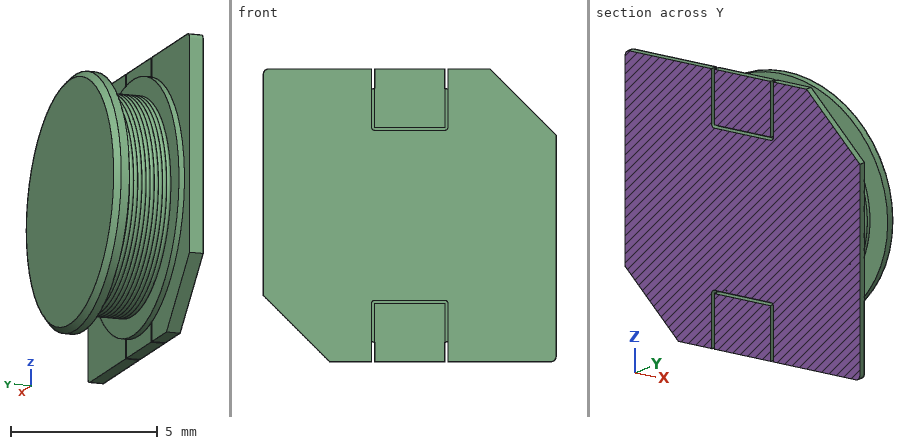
import cadquery as cq

plate_size = 10.0
plate_thickness = 0.5
corner_cut = 2.27
corner_radius = 0.2

pad_width = 2.4
pad_length = 2.0
slot_gap = 0.1

flange_diameter = 9.0
lower_flange_thickness = 0.2
upper_flange_thickness = 0.5
upper_flange_chamfer = 0.2
overall_height = 3.0

wire_pitch = 0.15
wire_diameter = 0.146
winding_diameter = 7.65
wire_start_angle = -50
core_overlap = 0.015

half_size = plate_size / 2
winding_start = plate_thickness + lower_flange_thickness
winding_end = overall_height - upper_flange_thickness
wire_center_radius = (winding_diameter - wire_diameter) / 2
core_radius = wire_center_radius + core_overlap


def disc(radius, y_start, y_end):
    """Cylinder about the Y axis between two Y positions."""
    height = y_end - y_start
    return cq.Workplane("XZ", origin=(0, y_start, 0)).circle(radius).extrude(-height)


def make_pad_slot():
    """U-shaped slot around the pad on the +Z edge of the plate."""
    outer_width = pad_width + 2 * slot_gap
    outer_length = pad_length + slot_gap
    outer = (
        cq.Workplane("XY")
        .box(outer_width, plate_thickness, outer_length, centered=(True, False, False))
        .translate((0, 0, half_size - outer_length))
        .edges("|Y and <Z")
        .fillet(slot_gap)
    )
    pad = (
        cq.Workplane("XY")
        .box(pad_width, plate_thickness, pad_length, centered=(True, False, False))
        .translate((0, 0, half_size - pad_length))
    )
    return outer.cut(pad)


def make_plate():
    """Square plate with two opposite corners cut, two rounded, and two pad slots."""
    cut_end = half_size - corner_cut
    plate = (
        cq.Workplane("XZ")
        .moveTo(-half_size, half_size)
        .lineTo(cut_end, half_size)
        .lineTo(half_size, cut_end)
        .lineTo(half_size, -half_size)
        .lineTo(-cut_end, -half_size)
        .lineTo(-half_size, -cut_end)
        .close()
        .extrude(-plate_thickness)
    )
    for x, z in ((-half_size, half_size), (half_size, -half_size)):
        corner = cq.selectors.NearestToPointSelector((x, plate_thickness / 2, z))
        plate = plate.edges("|Y").edges(corner).fillet(corner_radius)
    slot = make_pad_slot()
    for angle in (0, 180):
        plate = plate.cut(slot.rotate((0, 0, 0), (0, 1, 0), angle))
    return plate


def make_flanges():
    """Plain lower flange and upper flange with a chamfered outer rim."""
    flange_radius = flange_diameter / 2
    lower = disc(flange_radius, plate_thickness, winding_start)
    upper = disc(flange_radius, winding_end, overall_height)
    upper = upper.faces(">Y").edges().chamfer(upper_flange_chamfer)
    return lower, upper


def make_wire():
    """Right-handed helical wire about Y with its end centres level with the flange faces."""
    length = winding_end - winding_start
    helix = cq.Wire.makeHelix(wire_pitch, length, wire_center_radius)
    wire = (
        cq.Workplane("XZ", origin=(wire_center_radius, 0, 0))
        .circle(wire_diameter / 2)
        .sweep(cq.Workplane("XY").add(helix), isFrenet=True)
    )
    wire = wire.rotate((0, 0, 0), (1, 0, 0), -90).rotate((0, 0, 0), (0, 1, 0), wire_start_angle)
    return wire.translate((0, winding_start, 0))


lower_flange, upper_flange = make_flanges()
core = disc(core_radius, winding_start, winding_end)
result = core.union(make_wire()).union(lower_flange).union(upper_flange).union(make_plate())